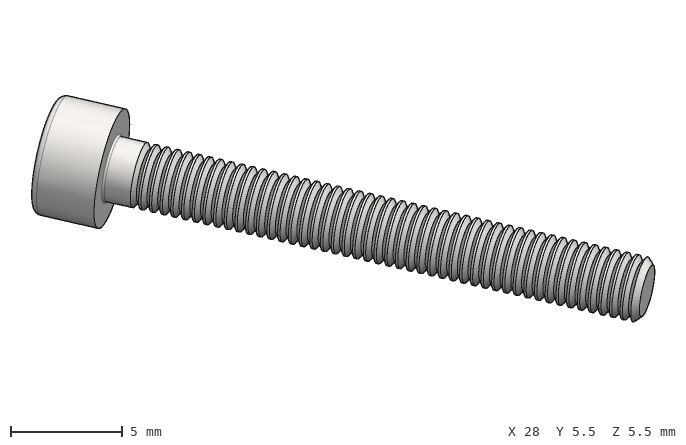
import cadquery as cq
import math

LENGTH = 28.0

HEAD_DIAMETER = 5.5
HEAD_HEIGHT = 3.0
HEAD_FILLET = 0.3

SHANK_DIAMETER = 3.0
NECK_FILLET = 0.1

GROOVE_COUNT = 47
GROOVE_DEPTH = 0.28
CREST_WIDTH = 0.1
THREAD_START = 4.3

TIP_CHAMFER = 0.3

SOCKET_FLATS = 2.5
SOCKET_DEPTH = 1.3
SOCKET_CONE_ANGLE = 120.0

head_radius = HEAD_DIAMETER / 2
shank_radius = SHANK_DIAMETER / 2
root_radius = shank_radius - GROOVE_DEPTH

thread_end = LENGTH - TIP_CHAMFER
crest_total = (GROOVE_COUNT - 1) * CREST_WIDTH
groove_width = (thread_end - THREAD_START - crest_total) / GROOVE_COUNT
pitch = groove_width + CREST_WIDTH


def make_body():
    """Head, neck and thread, revolved in one piece from a half section."""
    section = (
        cq.Workplane("XY")
        .moveTo(0, 0)
        .lineTo(0, head_radius)
        .lineTo(HEAD_HEIGHT, head_radius)
        .lineTo(HEAD_HEIGHT, shank_radius + NECK_FILLET)
        .radiusArc((HEAD_HEIGHT + NECK_FILLET, shank_radius), -NECK_FILLET)
    )
    for index in range(GROOVE_COUNT):
        groove_start = THREAD_START + index * pitch
        section = (
            section.lineTo(groove_start, shank_radius)
            .lineTo(groove_start + groove_width / 2, root_radius)
            .lineTo(groove_start + groove_width, shank_radius)
        )
    section = (
        section.lineTo(LENGTH, shank_radius - TIP_CHAMFER)
        .lineTo(LENGTH, 0)
        .close()
    )
    return section.revolve(360, (0, 0, 0), (1, 0, 0))


def make_socket():
    """Hexagonal pocket with corners along Y and a conical bottom."""
    inner_radius = SOCKET_FLATS / 2
    corner_diameter = SOCKET_FLATS / math.cos(math.radians(30))
    cone_depth = inner_radius / math.tan(math.radians(SOCKET_CONE_ANGLE / 2))
    hexagon = cq.Workplane("YZ").polygon(6, corner_diameter).extrude(SOCKET_DEPTH)
    cone = cq.Solid.makeCone(
        inner_radius, 0, cone_depth, cq.Vector(SOCKET_DEPTH, 0, 0), cq.Vector(1, 0, 0)
    )
    return hexagon.union(cone)


body = make_body().faces("<X").edges().fillet(HEAD_FILLET)
result = body.cut(make_socket())